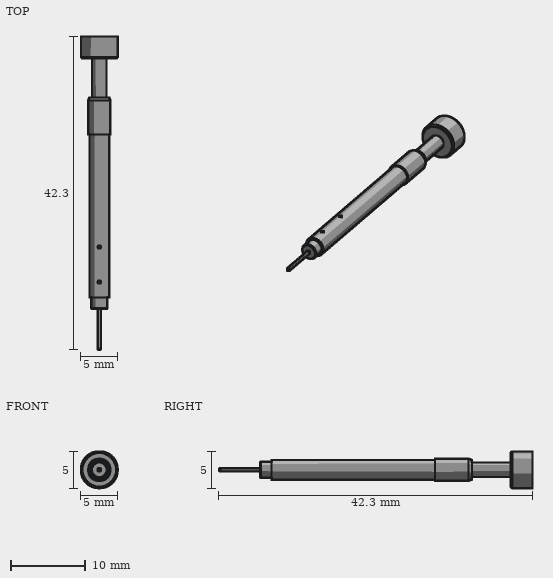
import cadquery as cq

TOTAL_LENGTH = 42.3
HEAD_FACE_Y = TOTAL_LENGTH / 2

HEAD_DIAMETER = 5.0
STEM_DIAMETER = 2.0
COLLAR_DIAMETER = 3.0
BARREL_DIAMETER = 2.7
NOSE_DIAMETER = 2.2
PIN_DIAMETER = 0.45

HEAD_LENGTH = 3.0
STEM_LENGTH = 5.2
COLLAR_LENGTH = 5.0
BARREL_LENGTH = 22.0
NOSE_LENGTH = 1.55

HEAD_CHAMFER_LENGTH = 0.25
HEAD_CHAMFER_DEPTH = 0.2
COLLAR_CHAMFER_LENGTH = 0.42
COLLAR_CHAMFER_DEPTH = 0.15
NOSE_CHAMFER_LENGTH = 0.13
NOSE_CHAMFER_DEPTH = 0.1
PIN_CHAMFER_LENGTH = 0.2
PIN_CHAMFER_DEPTH = 0.13

DIMPLE_DIAMETER = 0.42
DIMPLE_SPACING = 4.75
FRONT_DIMPLE_TO_BARREL_END = 2.07

stem_start_y = HEAD_FACE_Y - HEAD_LENGTH
collar_start_y = stem_start_y - STEM_LENGTH
barrel_start_y = collar_start_y - COLLAR_LENGTH
nose_start_y = barrel_start_y - BARREL_LENGTH
pin_start_y = nose_start_y - NOSE_LENGTH
pin_end_y = HEAD_FACE_Y - TOTAL_LENGTH


def make_turned_body():
    """Revolve the half outline, with radius along X, about the Y axis."""
    head_radius = HEAD_DIAMETER / 2
    stem_radius = STEM_DIAMETER / 2
    collar_radius = COLLAR_DIAMETER / 2
    barrel_radius = BARREL_DIAMETER / 2
    nose_radius = NOSE_DIAMETER / 2
    pin_radius = PIN_DIAMETER / 2
    return (
        cq.Workplane("XY")
        .moveTo(0, HEAD_FACE_Y)
        .lineTo(head_radius, HEAD_FACE_Y)
        .lineTo(head_radius, stem_start_y + HEAD_CHAMFER_LENGTH)
        .lineTo(head_radius - HEAD_CHAMFER_DEPTH, stem_start_y)
        .lineTo(stem_radius, stem_start_y)
        .lineTo(stem_radius, collar_start_y)
        .lineTo(collar_radius - COLLAR_CHAMFER_DEPTH, collar_start_y)
        .lineTo(collar_radius, collar_start_y - COLLAR_CHAMFER_LENGTH)
        .lineTo(collar_radius, barrel_start_y)
        .lineTo(barrel_radius, barrel_start_y)
        .lineTo(barrel_radius, nose_start_y)
        .lineTo(nose_radius, nose_start_y)
        .lineTo(nose_radius, pin_start_y + NOSE_CHAMFER_LENGTH)
        .lineTo(nose_radius - NOSE_CHAMFER_DEPTH, pin_start_y)
        .lineTo(pin_radius, pin_start_y)
        .lineTo(pin_radius, pin_end_y + PIN_CHAMFER_LENGTH)
        .lineTo(pin_radius - PIN_CHAMFER_DEPTH, pin_end_y)
        .lineTo(0, pin_end_y)
        .close()
        .revolve(360, (0, 0), (0, 1))
    )


def make_dimple(y):
    """Ball cutter centred on the top line of the barrel at the given Y."""
    return cq.Workplane("XY", origin=(0, y, BARREL_DIAMETER / 2)).sphere(DIMPLE_DIAMETER / 2)


result = make_turned_body()
front_dimple_y = nose_start_y + FRONT_DIMPLE_TO_BARREL_END
for dimple_y in (front_dimple_y, front_dimple_y + DIMPLE_SPACING):
    result = result.cut(make_dimple(dimple_y))